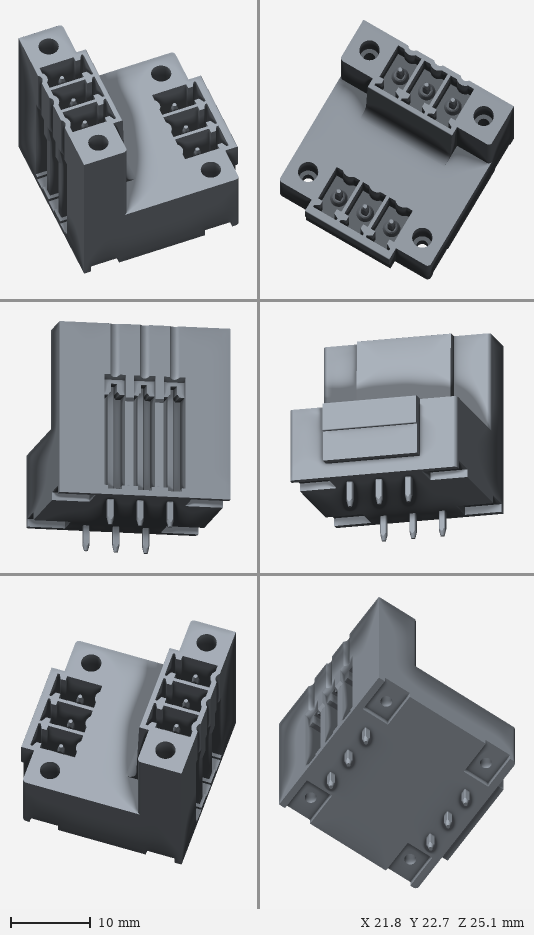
import cadquery as cq
import math


width = 21.8
pin_pitch = 3.82
row_pitch = 15.19
front_row_y = 2.99
pin_xs = [-pin_pitch, 0, pin_pitch]
tower_height = 21.9
step_height = 9.24
row_tops = [(front_row_y, tower_height), (front_row_y + row_pitch, step_height)]

tower_flange_depth = 5.87
base_flange_depth = 20.98
flange_corner_radius = 0.5

block_width = 12.22
block_depth = 22.7
lower_back_depth = 22.36
back_lip_bottom = 5.62
back_wall_bottom = 1.8
tower_top_depth = 7.15
tower_foot_depth = 7.58
tower_foot_radius = 1.4
rim_edge_radius = 0.13

chamber_depth = 5.77
chamber_width = 3.4
chamber_front = -2.35
chamber_back = 3.51
key_front = 2.25
key_back = 2.89
key_taper_back = 3.25
key_gap = 2.05
bulge_width = 1.6
bulge_height = 0.35

collar_foot_radius = 1.1
collar_shoulder_radius = 0.78
collar_top_radius = 0.6
collar_shoulder_height = 0.58
collar_height = 0.7

screw_spacing = 16.55
screw_hole_diameter = 2.54
screw_bore_diameter = 1.48
screw_hole_depth = chamber_depth
foot_recess_height = 1.0
foot_recess_spans = [(0.9, 4.72), (16.3, 20.0)]

pin_size = 0.8
pin_edge_chamfer = 0.1
pin_tail = 3.2
pin_top_gap = 1.05
pin_tip_radius = 0.25
pin_tip_length = 0.58

window_width = 2.74
window_bottom = 1.18
window_top = 15.39
window_recess = 0.65
window_slope_drop = 0.55
cavity_top = 12.93
cavity_back = front_row_y + pin_size / 2
pin_slot_top = 14.33
arch_radius = 0.75
arch_drop = 0.25
floor_groove_width = 1.78
floor_groove_bottom = 0.73
rib_recess = 0.38
rib_slope_bottom = 12.1
rib_slope_top = 12.5
groove_width = 1.23
groove_depth = 0.33


def box(x_span, y_span, z_span):
    """Box between pairs of X, Y and Z limits."""
    (x0, x1), (y0, y1), (z0, z1) = x_span, y_span, z_span
    return cq.Workplane("XY").box(x1 - x0, y1 - y0, z1 - z0, centered=False).translate((x0, y0, z0))


def centred_span(middle, size):
    return (middle - size / 2, middle + size / 2)


def side_profile_solid(points, x_middle, size):
    """Prism along X from an outline given as (Y, Z) points."""
    return cq.Workplane("YZ").polyline(points).close().extrude(size / 2, both=True).translate((x_middle, 0, 0))


def flange_body():
    """Full-width L-shaped body with rounded rear corners."""
    base = box(centred_span(0, width), (0, base_flange_depth), (0, step_height))
    tower = box(centred_span(0, width), (0, tower_flange_depth), (step_height, tower_height))
    base = base.edges("|Z and >Y").fillet(flange_corner_radius)
    tower = tower.edges("|Z and >Y").fillet(flange_corner_radius)
    return base.union(tower)


def centre_block():
    """Deeper L-shaped block that carries both rows of chambers."""
    outline = [
        (0, 0),
        (base_flange_depth - flange_corner_radius, 0),
        (base_flange_depth - flange_corner_radius, back_wall_bottom),
        (lower_back_depth, back_wall_bottom),
        (lower_back_depth, back_lip_bottom),
        (block_depth, back_lip_bottom),
        (block_depth, step_height),
        (tower_foot_depth, step_height),
        (tower_top_depth, tower_height),
        (0, tower_height),
    ]
    block = side_profile_solid(outline, 0, block_width)
    foot = cq.selectors.NearestToPointSelector((0, tower_foot_depth, step_height))
    block = block.edges(foot).fillet(tower_foot_radius)
    for y, z in [(tower_top_depth, tower_height), (block_depth, step_height), (block_depth, back_lip_bottom)]:
        block = block.edges(cq.selectors.NearestToPointSelector((0, y, z))).fillet(rim_edge_radius)
    return block


def chamber(x, y, rim_z):
    """Keyed plug chamber, open at the rim, with a bulge in its front wall."""
    half = chamber_width / 2
    half_key = key_gap / 2
    half_bulge = bulge_width / 2
    return (
        cq.Workplane("XY", origin=(x, y, rim_z))
        .moveTo(-half, chamber_front)
        .lineTo(-half_bulge, chamber_front)
        .threePointArc((0, chamber_front + bulge_height), (half_bulge, chamber_front))
        .lineTo(half, chamber_front)
        .lineTo(half, key_front)
        .lineTo(half_key, key_front)
        .lineTo(half_key, key_back)
        .lineTo(half, key_taper_back)
        .lineTo(half, chamber_back)
        .lineTo(-half, chamber_back)
        .lineTo(-half, key_taper_back)
        .lineTo(-half_key, key_back)
        .lineTo(-half_key, key_front)
        .lineTo(-half, key_front)
        .close()
        .extrude(-chamber_depth)
    )


def collar(x, y, rim_z):
    """Stepped conical collar that stands on a chamber floor."""
    return (
        cq.Workplane("XZ")
        .polyline([
            (0, 0),
            (collar_foot_radius, 0),
            (collar_shoulder_radius, collar_shoulder_height),
            (collar_top_radius, collar_height),
            (0, collar_height),
        ])
        .close()
        .revolve(360, (0, 0), (0, 1))
        .translate((x, y, rim_z - chamber_depth))
    )


def screw_hole(x, y, rim_z):
    """Wide hole from the top that narrows to a bore through the bottom."""
    bore = cq.Workplane("XY").center(x, y).circle(screw_bore_diameter / 2).extrude(rim_z)
    wide = (
        cq.Workplane("XY", origin=(x, y, rim_z)).circle(screw_hole_diameter / 2).extrude(-screw_hole_depth)
    )
    return bore.union(wide)


def foot_recess(side, y_span):
    """Recess under a flange, open to the bottom and to the outer side."""
    x_span = sorted([side * block_width / 2, side * width / 2])
    return box(x_span, y_span, (0, foot_recess_height))


def window(x):
    """Front window with a sloped top, a deep cavity below it and a slot for the pin."""
    recess = side_profile_solid(
        [
            (0, window_bottom),
            (window_recess, window_bottom),
            (window_recess, window_top - window_slope_drop),
            (0, window_top),
        ],
        x,
        window_width,
    )
    x_span = centred_span(x, window_width)
    cavity = box(x_span, (0, cavity_back), (window_bottom, cavity_top))
    floor_groove = box(
        centred_span(x, floor_groove_width), (0, cavity_back), (floor_groove_bottom, window_bottom)
    )
    pin_slot = box(centred_span(x, pin_size), (0, front_row_y), (cavity_top, pin_slot_top))
    arch = (
        cq.Workplane("XZ", origin=(x, 0, cavity_top - arch_drop)).circle(arch_radius).extrude(-cavity_back)
    )
    return recess.union(cavity).union(floor_groove).union(pin_slot).union(arch)


def window_rib_recess():
    """Sets the ribs between the windows back from the front face, with a sloped top."""
    return side_profile_solid(
        [
            (0, window_bottom),
            (rib_recess, window_bottom),
            (rib_recess, rib_slope_bottom),
            (0, rib_slope_top),
        ],
        0,
        2 * pin_pitch,
    )


def front_groove(x):
    """Round-bottomed groove down the front face from the top to a window."""
    half = groove_width / 2
    bottom = window_top - window_slope_drop
    return (
        cq.Workplane("XY", origin=(x, 0, bottom))
        .moveTo(-half, 0)
        .threePointArc((0, groove_depth), (half, 0))
        .close()
        .extrude(tower_height - bottom)
    )


def make_pin(x, y, rim_z):
    """Square pin with chamfered edges and a cone at both ends."""
    bottom = -pin_tail
    length = rim_z - pin_top_gap - bottom
    bar = cq.Workplane("XY").rect(pin_size, pin_size).extrude(length)
    bar = bar.edges("|Z").chamfer(pin_edge_chamfer)
    widening = (pin_size / 2 - pin_tip_radius) / pin_tip_length
    envelope_radius = pin_size / math.sqrt(2)
    cone_length = (envelope_radius - pin_tip_radius) / widening
    envelope = (
        cq.Workplane("XZ")
        .polyline([
            (0, 0),
            (pin_tip_radius, 0),
            (envelope_radius, cone_length),
            (envelope_radius, length - cone_length),
            (pin_tip_radius, length),
            (0, length),
        ])
        .close()
        .revolve(360, (0, 0), (0, 1))
    )
    return bar.intersect(envelope).translate((x, y, bottom))


def make_housing(pins):
    """Housing with all its openings, pierced to fit the pins exactly."""
    body = flange_body().union(centre_block())
    for y, rim_z in row_tops:
        for x in pin_xs:
            body = body.cut(chamber(x, y, rim_z)).union(collar(x, y, rim_z))
        for side in (-1, 1):
            body = body.cut(screw_hole(side * screw_spacing / 2, y, rim_z))
    for side in (-1, 1):
        for y_span in foot_recess_spans:
            body = body.cut(foot_recess(side, y_span))
    for x in pin_xs:
        body = body.cut(front_groove(x)).cut(window(x))
    body = body.cut(window_rib_recess())
    for pin in pins:
        body = body.cut(pin)
    return body


pins = [make_pin(x, y, rim_z) for y, rim_z in row_tops for x in pin_xs]
housing = make_housing(pins)

result = cq.Compound.makeCompound([housing.val(), *[pin.val() for pin in pins]])